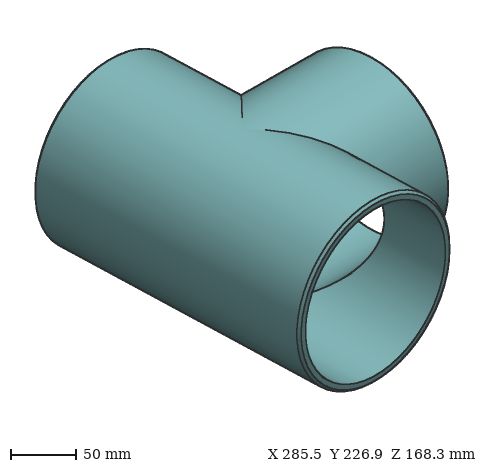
import cadquery as cq

outer_diameter = 168.275
wall = 7.11
centre_to_end = 142.75
end_chamfer = wall / 3

outer_radius = outer_diameter / 2
bore_radius = outer_radius - wall
run_length = 2 * centre_to_end

run_start = cq.Workplane("YZ", origin=(-centre_to_end, 0, 0))
branch_start = cq.Workplane("ZX")


def cylinder(start, radius, length):
    """Solid round bar extruded from the origin of a workplane."""
    return start.circle(radius).extrude(length)


def bevelled_bar(start, length, end_faces):
    """Outer pipe body with its rim bevelled on the selected end faces."""
    bar = cylinder(start, outer_radius, length)
    return bar.faces(end_faces).chamfer(end_chamfer)


def tee_body():
    """Run and branch joined as one solid, before boring."""
    run = bevelled_bar(run_start, run_length, "<X or >X")
    branch = bevelled_bar(branch_start, centre_to_end, ">Y")
    return run.union(branch)


def tee_bore():
    """Passage through the whole run and out of the branch."""
    run_bore = cylinder(run_start, bore_radius, run_length)
    branch_bore = cylinder(branch_start, bore_radius, centre_to_end)
    return run_bore.union(branch_bore)


result = tee_body().cut(tee_bore())